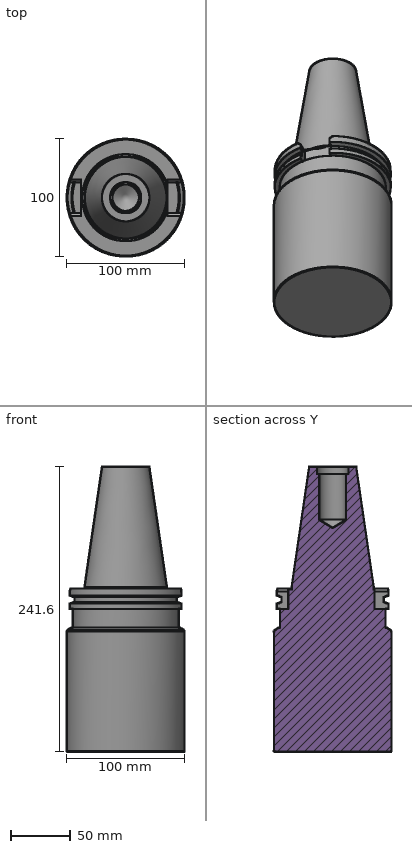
import cadquery as cq
import math

overall_length = 241.6
taper_length = 101.6
gauge_diameter = 69.85
taper_ratio = 7 / 24
gauge_z = overall_length - taper_length

body_radius = 100 / 2
neck_radius = 90 / 2
shoulder_top_z = 105.2
shoulder_outer_z = 103.2
body_top_z = 101.7
shoulder_inner_radius = 46.0
shoulder_outer_radius = 49.2
nose_chamfer = 0.5

flange_radius = 98.43 / 2
flange_top_z = gauge_z - 1.5
flange_bottom_z = gauge_z - 19.05

gauge_land_height = 0.5
gauge_land_bottom_z = gauge_z - gauge_land_height
relief_radius = 69.25 / 2
recess_radius = 36.9
recess_depth = 1.0
recess_floor_z = flange_top_z - recess_depth

groove_center_z = gauge_z - 11.1
groove_radius = 90.6 / 2
groove_floor_width = 4.0
groove_rim_width = 7.0

slot_width = 25.7
slot_chamfer = 2.7
slot_floor_left = 37.7
slot_floor_right = 35.5

counterbore_diameter = 26.38
counterbore_depth = 6.2
bore_diameter = 22.5
bore_depth = 45.0
drill_point_angle = 118


def make_turned_body():
    """Revolve the outer half-profile about Z."""
    small_end_radius = (gauge_diameter - taper_length * taper_ratio) / 2
    return (
        cq.Workplane("XZ")
        .moveTo(0, 0)
        .lineTo(body_radius - nose_chamfer, 0)
        .lineTo(body_radius, nose_chamfer)
        .lineTo(body_radius, body_top_z)
        .lineTo(shoulder_outer_radius, shoulder_outer_z)
        .lineTo(shoulder_inner_radius, shoulder_top_z)
        .lineTo(neck_radius, shoulder_top_z)
        .lineTo(neck_radius, flange_bottom_z)
        .lineTo(flange_radius, flange_bottom_z)
        .lineTo(flange_radius, flange_top_z)
        .lineTo(recess_radius, flange_top_z)
        .lineTo(recess_radius, recess_floor_z)
        .lineTo(relief_radius, recess_floor_z)
        .lineTo(relief_radius, gauge_land_bottom_z)
        .lineTo(gauge_diameter / 2, gauge_land_bottom_z)
        .lineTo(gauge_diameter / 2, gauge_z)
        .lineTo(small_end_radius, overall_length)
        .lineTo(0, overall_length)
        .close()
        .revolve(360, (0, 0, 0), (0, 1, 0))
    )


def make_groove():
    """Ring with a V-shaped section that widens toward the flange rim."""
    floor_half = groove_floor_width / 2
    rim_half = groove_rim_width / 2
    return (
        cq.Workplane("XZ")
        .moveTo(groove_radius, groove_center_z - floor_half)
        .lineTo(flange_radius, groove_center_z - rim_half)
        .lineTo(flange_radius, groove_center_z + rim_half)
        .lineTo(groove_radius, groove_center_z + floor_half)
        .close()
        .revolve(360, (0, 0, 0), (0, 1, 0))
    )


def make_slot(side, floor_x):
    """Drive slot with a flat floor at floor_x and chamfered top edges; side is -1 or +1 along X."""
    half = slot_width / 2
    chamfer_z = flange_top_z - slot_chamfer
    return (
        cq.Workplane("YZ")
        .workplane(offset=side * floor_x)
        .moveTo(-half, flange_bottom_z)
        .lineTo(half, flange_bottom_z)
        .lineTo(half, chamfer_z)
        .lineTo(half + slot_chamfer, flange_top_z)
        .lineTo(-half - slot_chamfer, flange_top_z)
        .lineTo(-half, chamfer_z)
        .close()
        .extrude(side * (flange_radius - floor_x))
    )


def make_bore():
    """Counterbored blind hole with a conical drill point, open at the small end."""
    bore_radius = bore_diameter / 2
    counterbore_radius = counterbore_diameter / 2
    bore_end_z = overall_length - bore_depth
    step_z = overall_length - counterbore_depth
    tip_z = bore_end_z - bore_radius / math.tan(math.radians(drill_point_angle / 2))
    return (
        cq.Workplane("XZ")
        .moveTo(0, tip_z)
        .lineTo(bore_radius, bore_end_z)
        .lineTo(bore_radius, step_z)
        .lineTo(counterbore_radius, step_z)
        .lineTo(counterbore_radius, overall_length)
        .lineTo(0, overall_length)
        .close()
        .revolve(360, (0, 0, 0), (0, 1, 0))
    )


result = (
    make_turned_body()
    .cut(make_groove())
    .cut(make_slot(-1, slot_floor_left))
    .cut(make_slot(1, slot_floor_right))
    .cut(make_bore())
)